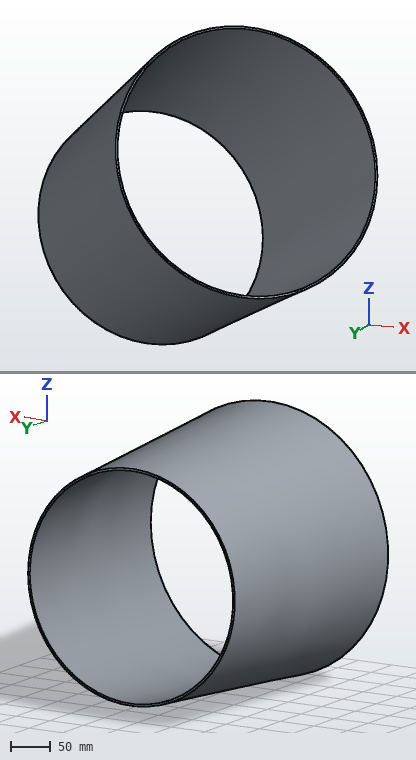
import cadquery as cq

large_diameter = 356.0
small_diameter = 308.0
length = 330.0
wall = 3.0

large_radius = large_diameter / 2
small_radius = small_diameter / 2
half_length = length / 2

wall_section = (
    cq.Workplane("XY")
    .moveTo(large_radius - wall, -half_length)
    .lineTo(large_radius, -half_length)
    .lineTo(small_radius, half_length)
    .lineTo(small_radius - wall, half_length)
    .close()
)

result = wall_section.revolve(360, (0, 0, 0), (0, 1, 0))